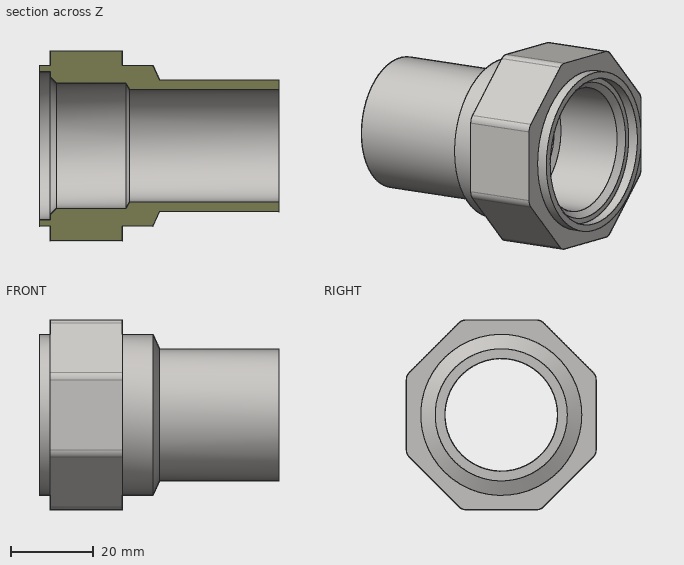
import cadquery as cq
import math

total_length = 58.0
nut_start = 2.6
nut_end = 20.1
collar_end = 27.5
taper_end = 29.1

collar_diameter = 39.0
spigot_diameter = 32.0
nut_across_flats = 46.0
nut_sides = 8
nut_corner_radius = 2.5

recess_diameter = 35.8
recess_depth = nut_start
socket_mouth_diameter = 33.25
socket_diameter = 30.29
bore_diameter = 27.2
socket_end = 20.9
socket_taper_half_angle = 60.0


def revolve_about_x(profile):
    """Turn a closed list of (x, radius) points around the X axis."""
    return cq.Workplane("XY").polyline(profile).close().revolve(360, (0, 0, 0), (1, 0, 0))


def make_body():
    """Collar that tapers down to the plain spigot."""
    collar_radius = collar_diameter / 2
    spigot_radius = spigot_diameter / 2
    return revolve_about_x([
        (0, 0),
        (0, collar_radius),
        (collar_end, collar_radius),
        (taper_end, spigot_radius),
        (total_length, spigot_radius),
        (total_length, 0),
    ])


def make_nut():
    """Octagonal wrench section with flats facing Y and Z and rounded corners."""
    half_side_angle = 180 / nut_sides
    across_corners = nut_across_flats / math.cos(math.radians(half_side_angle))
    return (
        cq.Workplane("YZ", origin=(nut_start, 0, 0))
        .transformed(rotate=(0, 0, half_side_angle))
        .polygon(nut_sides, across_corners)
        .extrude(nut_end - nut_start)
        .edges("|X")
        .fillet(nut_corner_radius)
    )


def make_passage():
    """Recess, chamfered socket and through bore, as one turned cutter."""
    recess_radius = recess_diameter / 2
    mouth_radius = socket_mouth_diameter / 2
    socket_radius = socket_diameter / 2
    bore_radius = bore_diameter / 2
    chamfer_length = mouth_radius - socket_radius
    taper_length = (socket_radius - bore_radius) / math.tan(math.radians(socket_taper_half_angle))
    return revolve_about_x([
        (0, 0),
        (0, recess_radius),
        (recess_depth, recess_radius),
        (recess_depth, mouth_radius),
        (recess_depth + chamfer_length, socket_radius),
        (socket_end, socket_radius),
        (socket_end + taper_length, bore_radius),
        (total_length, bore_radius),
        (total_length, 0),
    ])


result = make_body().union(make_nut()).cut(make_passage())